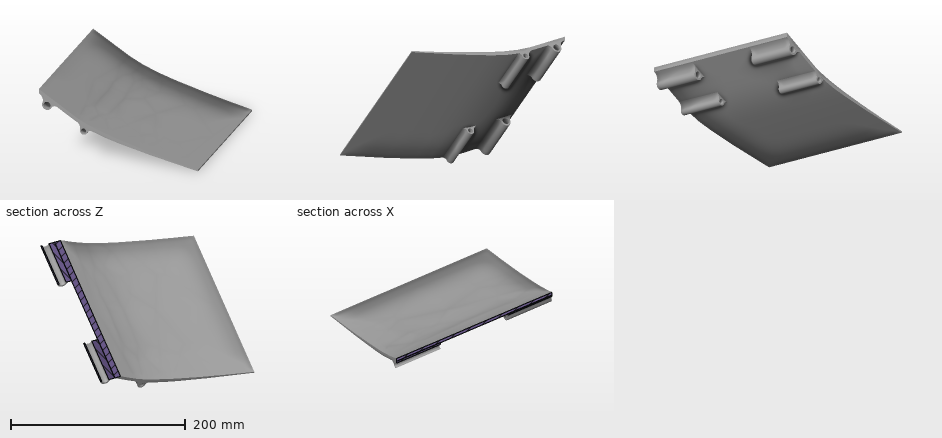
import cadquery as cq
import math


PANEL_LENGTH = 190.3
PANEL_WIDTH = 210.02
PANEL_HEIGHT = 79.69
THICK_EDGE = 5.2
UNDERSIDE_START = PANEL_HEIGHT - THICK_EDGE
THIN_EDGE = 1.6
STRAIGHT_SLOPE = 0.655
END_SLOPE = 0.25

UPPER_CURVE = [(73.4, 36.5), (100.7, 26.9), (128.0, 18.5), (155.0, 10.9)]
LOWER_CURVE = [(73.4, 31.0), (100.7, 22.4), (128.0, 15.0), (155.0, 8.4)]

FRONT_BEND_X = 50.0
REAR_BEND_X = 44.0

LUG_LENGTH = 60.0
INNER_FILLET = 9.0
OUTER_FILLET = 5.0
FOOT_EMBED = 2.0

EDGE_BORE = 8.0
EDGE_RADIUS = 6.0
EDGE_FRONT_CENTRE = (9.8, 61.2)
EDGE_REAR_CENTRE = (10.3, 60.9)

BEND_BORE = 6.0
BEND_RADIUS = 4.5
BEND_FRONT_CENTRE = (53.6, 34.4)
BEND_REAR_CENTRE = (48.7, 37.2)
BEND_OUTER_SLOPE = 0.46
BEND_OUTER_HEIGHT = 5.0

FRONT_Y = -PANEL_WIDTH / 2
REAR_Y = PANEL_WIDTH / 2


def straight_points(start_z, bend_x):
    """Start, middle and end of the straight stretch of one face."""
    return [(x, start_z - STRAIGHT_SLOPE * x) for x in (0, bend_x / 2, bend_x)]


def panel_profile(y, bend_x):
    """Closed side outline of the panel at the given Y."""
    upper = straight_points(PANEL_HEIGHT, bend_x) + UPPER_CURVE + [(PANEL_LENGTH, THIN_EDGE)]
    lower = straight_points(UNDERSIDE_START, bend_x) + LOWER_CURVE + [(PANEL_LENGTH, 0)]
    outline = (
        cq.Workplane("XZ", origin=(0, y, 0))
        .spline(upper, tangents=[(1, -STRAIGHT_SLOPE), (1, -END_SLOPE)])
        .lineTo(PANEL_LENGTH, 0)
        .spline(lower[::-1], tangents=[(-1, END_SLOPE), (-1, STRAIGHT_SLOPE)])
        .close()
    )
    return outline.wires().val()


def make_panel():
    profiles = [panel_profile(FRONT_Y, FRONT_BEND_X), panel_profile(REAR_Y, REAR_BEND_X)]
    return cq.Workplane(cq.Solid.makeLoft(profiles, True))


def straight_underside_height(centre):
    """Square distance from a lug centre up to the straight part of the underside."""
    x, z = centre
    rise = UNDERSIDE_START - STRAIGHT_SLOPE * x - z
    return rise * math.cos(math.atan(STRAIGHT_SLOPE))


def foot_points(side, fillet, radius, slope, height):
    """Points of one foot, from the round up into the panel, about the lug centre.

    The arc is tangent to the round and to an underside falling at the given slope.
    side is -1 for the foot towards the thick edge and +1 for the other.
    """
    reach_angle = math.asin((height - fillet) / (radius + fillet))
    reach = (radius + fillet) * math.cos(reach_angle)
    arc_middle_angle = (math.pi / 2 + math.pi + reach_angle) / 2
    fall_angle = math.atan(slope)

    def placed(across, up):
        x = side * across * math.cos(fall_angle) + up * math.sin(fall_angle)
        z = up * math.cos(fall_angle) - side * across * math.sin(fall_angle)
        return (x, z)

    on_round = placed(radius * math.cos(reach_angle), radius * math.sin(reach_angle))
    arc_middle = placed(
        reach + fillet * math.cos(arc_middle_angle),
        height - fillet + fillet * math.sin(arc_middle_angle),
    )
    on_panel = placed(reach, height)
    embedded = placed(reach, height + FOOT_EMBED)
    return on_round, arc_middle, on_panel, embedded


def make_lug(centre, y_start, radius, bore, outer_slope, outer_height):
    inner_height = straight_underside_height(centre)
    inner = foot_points(-1, INNER_FILLET, radius, STRAIGHT_SLOPE, inner_height)
    outer = foot_points(1, OUTER_FILLET, radius, outer_slope, outer_height)
    inner_round, inner_middle, inner_panel, inner_top = inner
    outer_round, outer_middle, outer_panel, outer_top = outer
    plane = cq.Workplane("XZ", origin=(centre[0], y_start, centre[1]))
    blank = (
        plane.moveTo(*inner_top)
        .lineTo(*inner_panel)
        .threePointArc(inner_middle, inner_round)
        .threePointArc((0, -radius), outer_round)
        .threePointArc(outer_middle, outer_panel)
        .lineTo(*outer_top)
        .close()
        .extrude(-LUG_LENGTH)
    )
    bore_core = plane.circle(bore / 2).extrude(-LUG_LENGTH)
    return blank.cut(bore_core).cut(panel)


def make_edge_lug(centre, y_start):
    outer_height = straight_underside_height(centre)
    return make_lug(centre, y_start, EDGE_RADIUS, EDGE_BORE, STRAIGHT_SLOPE, outer_height)


def make_bend_lug(centre, y_start):
    return make_lug(centre, y_start, BEND_RADIUS, BEND_BORE, BEND_OUTER_SLOPE, BEND_OUTER_HEIGHT)


panel = make_panel()

lugs = []
for edge_centre, bend_centre, lug_y in (
    (EDGE_FRONT_CENTRE, BEND_FRONT_CENTRE, FRONT_Y),
    (EDGE_REAR_CENTRE, BEND_REAR_CENTRE, REAR_Y - LUG_LENGTH),
):
    lugs += make_edge_lug(edge_centre, lug_y).vals()
    lugs += make_bend_lug(bend_centre, lug_y).vals()

result = cq.Compound.makeCompound([panel.val(), *lugs])